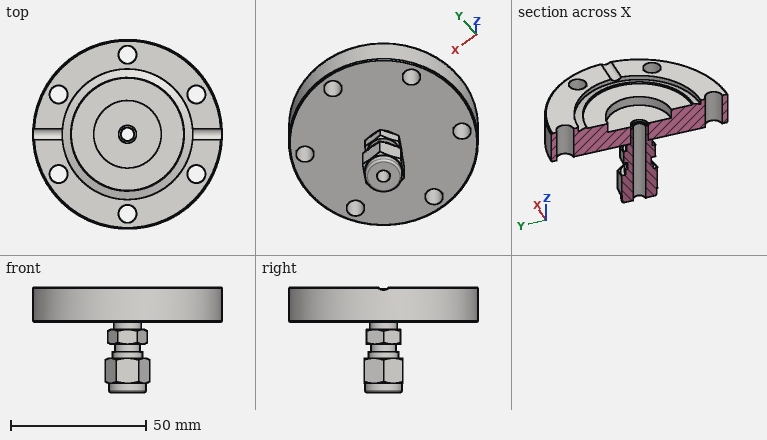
import cadquery as cq
import math

FLANGE_DIAMETER = 70.0
FLANGE_THICKNESS = 13.0
FLANGE_CHAMFER = 0.5

BOLT_COUNT = 6
BOLT_CIRCLE_DIAMETER = 58.8
BOLT_HOLE_DIAMETER = 6.6

RECESS_DIAMETER = 48.3
RECESS_DEPTH = 1.8
KNIFE_DIAMETER = 42.0
KNIFE_DEPTH = 0.6
PLATEAU_DIAMETER = 41.6
PLATEAU_DEPTH = 1.25

POCKET_DIAMETER = 25.0
POCKET_DEPTH = 3.85

GROOVE_WIDTH = 4.05
GROOVE_DEPTH = 1.1

STUB_DIAMETER = 6.6
STUB_SETBACK = 1.0
BORE_DIAMETER = 4.8
BORE_CHAMFER = 0.105

SHOULDER_DIAMETER = 10.3
SHOULDER_LENGTH = 2.6
BODY_HEX_FLATS = 12.75
BODY_HEX_LENGTH = 5.6
NECK_DIAMETER = 9.4
NECK_LENGTH = 2.7
COLLAR_DIAMETER = 11.1
COLLAR_LENGTH = 2.3
NUT_HEX_FLATS = 14.3
NUT_HEX_LENGTH = 9.4
END_DIAMETER = 13.7
END_LENGTH = 3.35
END_FILLET = 0.85

HEX_CHAMFER_HEIGHT = 0.7
HEX_CHAMFER_ANGLE = 30.0

plateau_z = FLANGE_THICKNESS - PLATEAU_DEPTH
pocket_floor_z = plateau_z - POCKET_DEPTH
stub_top_z = pocket_floor_z - STUB_SETBACK


def cylinder(diameter, bottom_z, height):
    """Upright cylinder on the Z axis."""
    return cq.Workplane("XY").workplane(offset=bottom_z).circle(diameter / 2).extrude(height)


def seal_cutter():
    """Revolved space above the conical recess floor, knife edge and plateau."""
    return (
        cq.Workplane("XZ")
        .moveTo(0, FLANGE_THICKNESS)
        .lineTo(RECESS_DIAMETER / 2, FLANGE_THICKNESS)
        .lineTo(RECESS_DIAMETER / 2, FLANGE_THICKNESS - RECESS_DEPTH)
        .lineTo(KNIFE_DIAMETER / 2, FLANGE_THICKNESS - KNIFE_DEPTH)
        .lineTo(PLATEAU_DIAMETER / 2, plateau_z)
        .lineTo(0, plateau_z)
        .close()
        .revolve(360, (0, 0, 0), (0, 1, 0))
    )


def groove_cutter():
    """Round-bottomed groove along X; only the rim outside the seal reaches up to it."""
    radius = ((GROOVE_WIDTH / 2) ** 2 + GROOVE_DEPTH ** 2) / (2 * GROOVE_DEPTH)
    axis_z = FLANGE_THICKNESS - GROOVE_DEPTH + radius
    rod = (
        cq.Workplane("YZ")
        .center(0, axis_z)
        .circle(radius)
        .extrude(FLANGE_DIAMETER / 2, both=True)
    )
    return rod.cut(cylinder(RECESS_DIAMETER, 0, axis_z + radius))


def make_flange():
    flange = cylinder(FLANGE_DIAMETER, 0, FLANGE_THICKNESS).edges().chamfer(FLANGE_CHAMFER)
    bolt_holes = (
        cq.Workplane("XY")
        .polarArray(BOLT_CIRCLE_DIAMETER / 2, 90, 360, BOLT_COUNT)
        .circle(BOLT_HOLE_DIAMETER / 2)
        .extrude(FLANGE_THICKNESS)
    )
    return (
        flange.cut(bolt_holes)
        .cut(seal_cutter())
        .cut(cylinder(POCKET_DIAMETER, pocket_floor_z, POCKET_DEPTH))
        .cut(cylinder(STUB_DIAMETER, 0, pocket_floor_z))
        .cut(groove_cutter())
    )


def make_hex(flats, bottom_z, length):
    """Hexagon with corners on the X axis, both ends turned to a shallow cone."""
    corners = flats / math.cos(math.radians(30))
    chamfer_width = HEX_CHAMFER_HEIGHT / math.tan(math.radians(HEX_CHAMFER_ANGLE))
    prism = cq.Workplane("XY").workplane(offset=bottom_z).polygon(6, corners).extrude(length)
    turned_blank = (
        cylinder(corners, bottom_z, length)
        .faces("<Z or >Z")
        .edges()
        .chamfer(HEX_CHAMFER_HEIGHT, chamfer_width)
    )
    return prism.intersect(turned_blank)


def make_fitting():
    body_hex_z = -SHOULDER_LENGTH - BODY_HEX_LENGTH
    neck_z = body_hex_z - NECK_LENGTH
    collar_z = neck_z - COLLAR_LENGTH
    nut_hex_z = collar_z - NUT_HEX_LENGTH
    end_z = nut_hex_z - END_LENGTH

    fitting = (
        cylinder(STUB_DIAMETER, 0, stub_top_z)
        .union(cylinder(SHOULDER_DIAMETER, -SHOULDER_LENGTH, SHOULDER_LENGTH))
        .union(make_hex(BODY_HEX_FLATS, body_hex_z, BODY_HEX_LENGTH))
        .union(cylinder(NECK_DIAMETER, neck_z, NECK_LENGTH))
        .union(cylinder(COLLAR_DIAMETER, collar_z, COLLAR_LENGTH))
        .union(make_hex(NUT_HEX_FLATS, nut_hex_z, NUT_HEX_LENGTH))
        .union(cylinder(END_DIAMETER, end_z, END_LENGTH).faces("<Z").edges().fillet(END_FILLET))
    )
    fitting = fitting.cut(cylinder(BORE_DIAMETER, end_z, stub_top_z - end_z))
    bore_rim = fitting.faces(">Z").edges(cq.selectors.RadiusNthSelector(0))
    return bore_rim.chamfer(BORE_CHAMFER)


flange = make_flange()
fitting = make_fitting()

result = cq.Compound.makeCompound([flange.solids().val(), fitting.solids().val()])